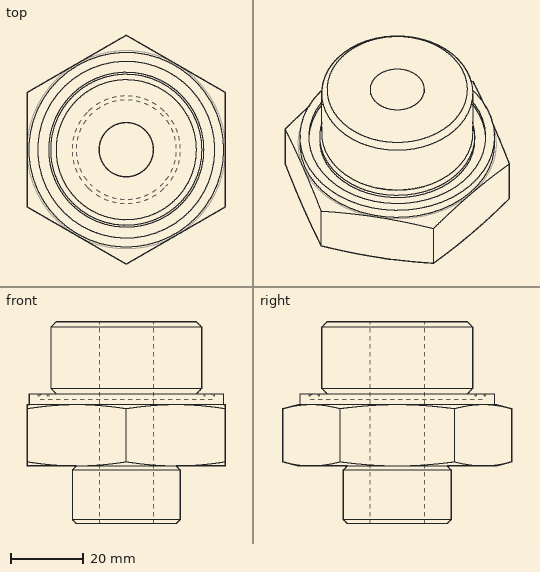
import cadquery as cq
import math

across_corners = 63.5
across_flats = across_corners * math.cos(math.pi / 6)
hex_height = 17.0
hex_chamfer_angle = math.radians(15)

lower_diameter = 30.0
lower_length = 16.0
lower_chamfer = 1.15

collar_diameter = 54.0
collar_height = 3.0
upper_diameter = 41.9
upper_length = 20.0
upper_chamfer = 1.5

seal_outer_diameter = 49.0
seal_inner_diameter = 43.0

bore_diameter = 15.0

hex_bottom = lower_length
hex_top = hex_bottom + hex_height
collar_top = hex_top + collar_height
total_height = collar_top + upper_length


def cylinder(diameter, bottom, height):
    """Upright cylinder on the part axis."""
    return cq.Workplane("XY").workplane(offset=bottom).circle(diameter / 2).extrude(height)


def make_hexagon():
    """Hexagonal prism whose corners are turned off by a shallow cone at both ends."""
    prism = (
        cq.Workplane("XY")
        .workplane(offset=hex_bottom)
        .polygon(6, across_corners)
        .extrude(hex_height)
        .rotate((0, 0, 0), (0, 0, 1), 90)
    )
    face_radius = across_flats / 2
    corner_radius = across_corners / 2
    corner_drop = (corner_radius - face_radius) * math.tan(hex_chamfer_angle)
    turned = (
        cq.Workplane("XZ")
        .moveTo(0, hex_bottom)
        .lineTo(face_radius, hex_bottom)
        .lineTo(corner_radius, hex_bottom + corner_drop)
        .lineTo(corner_radius, hex_top - corner_drop)
        .lineTo(face_radius, hex_top)
        .lineTo(0, hex_top)
        .close()
        .revolve(360, (0, 0, 0), (0, 1, 0))
    )
    return prism.intersect(turned)


def make_seal_ring():
    """Round-section ring whose crown is level with the collar face."""
    section_radius = (seal_outer_diameter - seal_inner_diameter) / 4
    ring_radius = (seal_outer_diameter + seal_inner_diameter) / 4
    return (
        cq.Workplane("XZ")
        .center(ring_radius, collar_top - section_radius)
        .circle(section_radius)
        .revolve(360, (-ring_radius, 0, 0), (-ring_radius, 1, 0))
    )


def make_seal_groove():
    """Annular recess, half the seal section deep, that exposes the upper half of the ring."""
    depth = (seal_outer_diameter - seal_inner_diameter) / 4
    outer = cylinder(seal_outer_diameter, collar_top - depth, depth)
    inner = cylinder(seal_inner_diameter, collar_top - depth, depth)
    return outer.cut(inner)


lower_stud = cylinder(lower_diameter, 0, lower_length).faces("<Z or >Z").chamfer(lower_chamfer)
collar = cylinder(collar_diameter, hex_top, collar_height)
upper_stud = cylinder(upper_diameter, collar_top, upper_length).faces("<Z or >Z").chamfer(upper_chamfer)
bore = cylinder(bore_diameter, 0, total_height)

result = (
    make_hexagon()
    .union(lower_stud)
    .union(collar)
    .cut(make_seal_groove())
    .union(make_seal_ring())
    .union(upper_stud)
    .cut(bore)
)